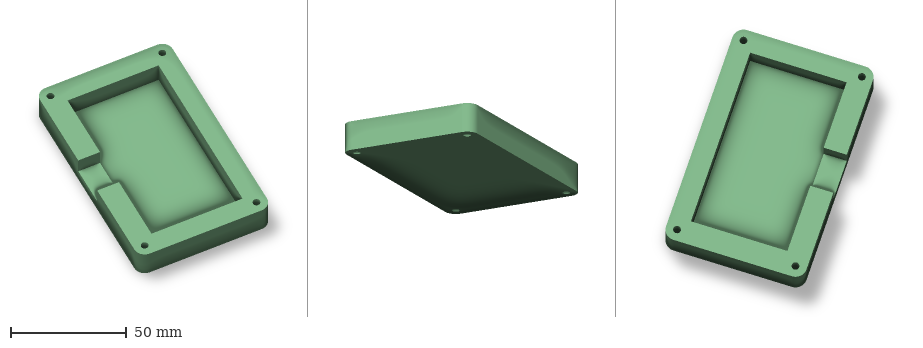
import cadquery as cq

length = 101.96
width = 63.86
height = 13.0
corner_radius = 5.0

hole_diameter = 3.4
hole_inset = corner_radius

wall_left = 10.5
wall_right = 9.5
wall_front = 10.5
wall_back = 9.5
floor_thickness = 3.0

notch_width = 18.5
notch_depth = 7.5
notch_offset_from_left = 42.2


def box_from_corner(x, y, z, size_x, size_y, size_z):
    """Box with its minimum corner at (x, y, z)."""
    return cq.Workplane("XY").box(size_x, size_y, size_z, centered=False).translate((x, y, z))


def make_block():
    block = cq.Workplane("XY").box(length, width, height, centered=(True, True, False))
    return block.edges("|Z").fillet(corner_radius)


def make_pocket():
    return box_from_corner(
        -length / 2 + wall_left,
        -width / 2 + wall_front,
        floor_thickness,
        length - wall_left - wall_right,
        width - wall_front - wall_back,
        height - floor_thickness,
    )


def make_notch():
    return box_from_corner(
        -length / 2 + notch_offset_from_left,
        -width / 2,
        height - notch_depth,
        notch_width,
        wall_front,
        notch_depth,
    )


def make_screw_holes():
    spacing_x = length - 2 * hole_inset
    spacing_y = width - 2 * hole_inset
    return (
        cq.Workplane("XY")
        .rect(spacing_x, spacing_y, forConstruction=True)
        .vertices()
        .circle(hole_diameter / 2)
        .extrude(height)
    )


result = make_block().cut(make_pocket()).cut(make_notch()).cut(make_screw_holes())